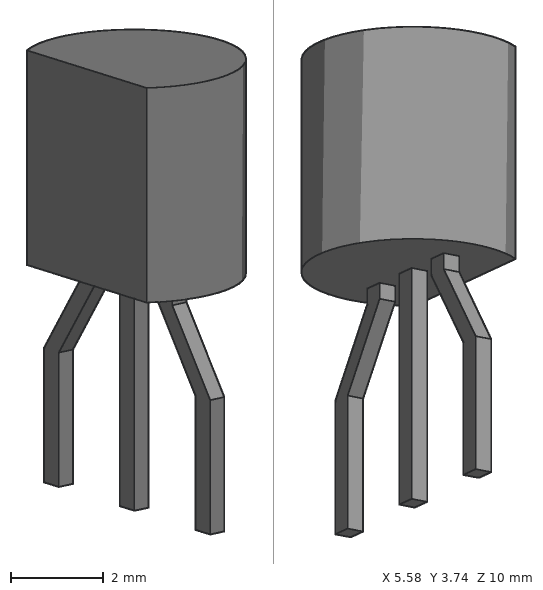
import cadquery as cq

total_height = 10.0
body_height = 4.79
body_radius = 2.41
flat_offset = 1.33

lead_width = 0.5
lead_thickness = 0.4
lead_pitch = 2.54
root_pitch = lead_pitch / 2
root_length = 0.36
tip_length = 3.0
lead_length = total_height - body_height


def make_body():
    cylinder = cq.Workplane("XY").circle(body_radius).extrude(body_height)
    depth = body_radius + flat_offset
    keep = (
        cq.Workplane("XY")
        .box(2 * body_radius, depth, body_height, centered=(True, False, False))
        .translate((0, -flat_offset, 0))
    )
    return cylinder.intersect(keep)


def make_lead(side):
    """Build a lead on the left (-1), centre (0) or right (1)."""
    centre_line = [
        (side * root_pitch, 0),
        (side * root_pitch, -root_length),
        (side * lead_pitch, tip_length - lead_length),
        (side * lead_pitch, -lead_length),
    ]
    left_edge = [(x - lead_width / 2, z) for x, z in centre_line]
    right_edge = [(x + lead_width / 2, z) for x, z in reversed(centre_line)]
    return (
        cq.Workplane("XZ")
        .polyline(left_edge + right_edge)
        .close()
        .extrude(lead_thickness / 2, both=True)
    )


result = make_body()
for side in (-1, 0, 1):
    result = result.union(make_lead(side))